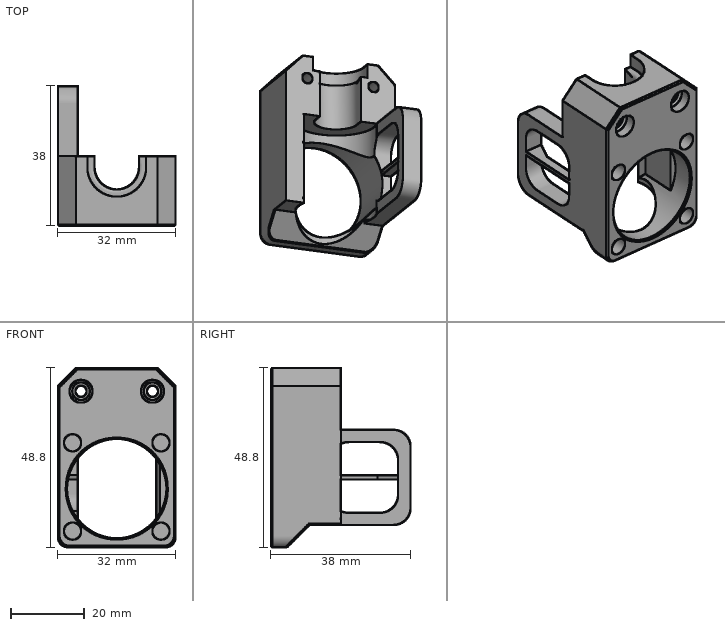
import cadquery as cq
import math

WIDTH = 32.0
HEIGHT = 48.8
BODY_DEPTH = 19.05
TOP_CORNER_CHAMFER = 5.0
BOTTOM_CORNER_RADIUS = 3.0
FRONT_BEVEL = 0.5

TOTAL_DEPTH = 38.0
ARM_THICKNESS = 5.4
ARM_BOTTOM = 6.1
ARM_TOP = 32.0
ARM_CORNER_RADIUS = 4.7
UNDERCUT_FRONT = 4.3
UNDERCUT_HEIGHT = 6.5
UNDERCUT_EDGE_BEVEL = 0.25

WINDOW_FRONT = 16.2
WINDOW_BACK = 34.55
WINDOW_BOTTOM = 9.45
WINDOW_TOP = 28.6
WINDOW_CORNER_RADIUS = 4.85
BAR_HEIGHT = 1.2
BAR_THICKNESS = 2.85
BAR_FLARE_LENGTH = 5.6

BORE_DIAMETER = 27.0
BORE_RIM_CHAMFER = 0.4
BORE_CENTRE_Z = WIDTH / 2
FLAT_WALL_X = 11.8
FLAT_WALL_FRONT = 6.5
BACK_LIP_CENTRE_Y = 10.8

CABLE_CENTRE_Y = 16.0
CABLE_DIAMETER = 12.0
CABLE_STEP_DIAMETER = 16.0
CABLE_STEP_DEPTH = 3.9
CABLE_ROUNDING = 1.0
CAVITY_DIAMETER = 22.15
CAVITY_TOP = 32.0

MAGNET_DIAMETER = 4.7
MAGNET_DEPTH = 4.0
MAGNET_OFFSET = 12.0
MAGNET_CENTRE_Z = 16.45
SCREW_DIAMETER = 3.0
SCREW_HEAD_DIAMETER = 6.25
SCREW_SEAT_DIAMETER = 4.8
SCREW_HEAD_DEPTH = 3.0
SCREW_OFFSET_X = 9.7
SCREW_Z = 42.45

HALF_WIDTH = WIDTH / 2
ARM_INSIDE = ARM_THICKNESS - HALF_WIDTH


def block(x_range, y_range, z_range):
    """Box given by its (low, high) limits along each axis."""
    size = [high - low for low, high in (x_range, y_range, z_range)]
    corner = (x_range[0], y_range[0], z_range[0])
    return cq.Workplane("XY").box(*size, centered=False).translate(corner)


def rod_y(diameter, x, z, start, end):
    """Cylinder along Y."""
    plane = cq.Workplane("XZ", origin=(x, start, z))
    return plane.circle(diameter / 2).extrude(start - end)


def cone_y(front_diameter, back_diameter, x, z, start, end):
    """Round taper along Y."""
    cone = cq.Solid.makeCone(
        front_diameter / 2, back_diameter / 2, end - start, cq.Vector(x, start, z), cq.Vector(0, 1, 0)
    )
    return cq.Workplane(cone)


def rod_z(diameter, y, start, end):
    """Cylinder along Z in the middle plane x = 0."""
    plane = cq.Workplane("XY", origin=(0, y, start))
    return plane.circle(diameter / 2).extrude(end - start)


def slot_z(diameter, start, end):
    """U-shaped cable slot, round at the cable axis and open through the back face."""
    mouth = block((-diameter / 2, diameter / 2), (CABLE_CENTRE_Y, BODY_DEPTH), (start, end))
    return rod_z(diameter, CABLE_CENTRE_Y, start, end).union(mouth)


def make_body():
    body = block((-HALF_WIDTH, HALF_WIDTH), (0, BODY_DEPTH), (0, HEIGHT))
    body = body.edges("|Y and >Z").chamfer(TOP_CORNER_CHAMFER)
    body = body.edges("|Y and <Z").fillet(BOTTOM_CORNER_RADIUS)
    body = body.faces("<Y").chamfer(FRONT_BEVEL)
    undercut = (
        cq.Workplane("YZ")
        .moveTo(UNDERCUT_FRONT, 0)
        .lineTo(UNDERCUT_FRONT + UNDERCUT_HEIGHT, UNDERCUT_HEIGHT)
        .lineTo(BODY_DEPTH, UNDERCUT_HEIGHT)
        .lineTo(BODY_DEPTH, 0)
        .close()
        .extrude(HALF_WIDTH, both=True)
    )
    body = body.cut(undercut)
    slope = body.faces(cq.selectors.ParallelDirSelector(cq.Vector(0, 1, -1)))
    slope_sides = slope.edges("<X or >X").vals()
    body = body.newObject(slope_sides).chamfer(UNDERCUT_EDGE_BEVEL)
    arm_foot = block(
        (-HALF_WIDTH, ARM_INSIDE),
        (UNDERCUT_FRONT + ARM_BOTTOM, BODY_DEPTH),
        (ARM_BOTTOM, UNDERCUT_HEIGHT),
    )
    return body.union(arm_foot)


def make_cavity():
    bore = rod_y(BORE_DIAMETER, 0, BORE_CENTRE_Z, 0, BODY_DEPTH)
    wall = block((FLAT_WALL_X, HALF_WIDTH), (FLAT_WALL_FRONT, BODY_DEPTH), (0, HEIGHT))
    lip = block((0, HALF_WIDTH), (BACK_LIP_CENTRE_Y, BODY_DEPTH), (0, HEIGHT))
    lip = lip.cut(rod_z(BORE_DIAMETER, BACK_LIP_CENTRE_Y, 0, HEIGHT))
    rim_diameter = BORE_DIAMETER + 2 * BORE_RIM_CHAMFER
    rim = cone_y(rim_diameter, BORE_DIAMETER, 0, BORE_CENTRE_Z, 0, BORE_RIM_CHAMFER)
    upright = rod_z(CAVITY_DIAMETER, CABLE_CENTRE_Y, 0, CAVITY_TOP)
    return bore.cut(wall).cut(lip).union(rim).union(upright)


def make_cable_slot():
    step = HEIGHT - CABLE_STEP_DEPTH
    radius = CABLE_DIAMETER / 2
    bottom = step - CABLE_ROUNDING
    reach = CABLE_ROUNDING * math.sqrt(0.5)
    rounded_mouth = (
        cq.Workplane("XZ", origin=(0, CABLE_CENTRE_Y, 0))
        .moveTo(0, bottom)
        .lineTo(radius, bottom)
        .threePointArc(
            (radius + CABLE_ROUNDING - reach, bottom + reach),
            (radius + CABLE_ROUNDING, step),
        )
        .lineTo(0, step)
        .close()
        .revolve(360, (0, 0), (0, 1))
    )
    slot = slot_z(CABLE_DIAMETER, BORE_CENTRE_Z, HEIGHT)
    return slot.union(slot_z(CABLE_STEP_DIAMETER, step, HEIGHT)).union(rounded_mouth)


def make_arm():
    arm = block((-HALF_WIDTH, ARM_INSIDE), (BODY_DEPTH, TOTAL_DEPTH), (ARM_BOTTOM, ARM_TOP))
    return arm.edges("|X and >Y").fillet(ARM_CORNER_RADIUS)


def make_window():
    window = block(
        (-HALF_WIDTH, ARM_INSIDE),
        (WINDOW_FRONT, WINDOW_BACK),
        (WINDOW_BOTTOM, WINDOW_TOP),
    )
    return window.edges("|X").fillet(WINDOW_CORNER_RADIUS)


def make_crossbar():
    """Thin bar across the window, flaring to the full arm thickness at the back."""
    middle = (WINDOW_BOTTOM + WINDOW_TOP) / 2
    bar_inside = BAR_THICKNESS - HALF_WIDTH
    return (
        cq.Workplane("XY", origin=(0, 0, middle - BAR_HEIGHT / 2))
        .moveTo(-HALF_WIDTH, WINDOW_FRONT)
        .lineTo(bar_inside, WINDOW_FRONT)
        .lineTo(bar_inside, WINDOW_BACK - BAR_FLARE_LENGTH)
        .lineTo(ARM_INSIDE, WINDOW_BACK)
        .lineTo(-HALF_WIDTH, WINDOW_BACK)
        .close()
        .extrude(BAR_HEIGHT)
    )


def make_front_holes():
    holes = cq.Workplane("XY")
    for side in (-1, 1):
        screw_x = side * SCREW_OFFSET_X
        seat = SCREW_HEAD_DEPTH + (SCREW_HEAD_DIAMETER - SCREW_SEAT_DIAMETER) / 2
        holes = holes.union(rod_y(SCREW_DIAMETER, screw_x, SCREW_Z, 0, BODY_DEPTH))
        holes = holes.union(rod_y(SCREW_HEAD_DIAMETER, screw_x, SCREW_Z, 0, SCREW_HEAD_DEPTH))
        cone = cone_y(SCREW_HEAD_DIAMETER, SCREW_SEAT_DIAMETER, screw_x, SCREW_Z, SCREW_HEAD_DEPTH, seat)
        holes = holes.union(cone)
        for level in (-1, 1):
            magnet_z = MAGNET_CENTRE_Z + level * MAGNET_OFFSET
            magnet = rod_y(MAGNET_DIAMETER, side * MAGNET_OFFSET, magnet_z, 0, MAGNET_DEPTH)
            holes = holes.union(magnet)
    return holes


result = (
    make_body()
    .cut(make_cavity())
    .union(make_arm())
    .cut(make_window())
    .cut(make_cable_slot())
    .cut(make_front_holes())
    .union(make_crossbar())
)